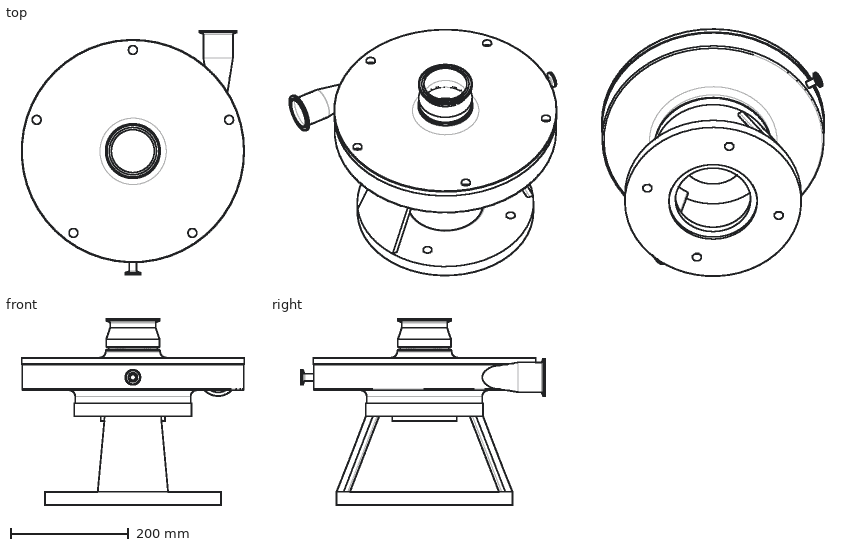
import cadquery as cq
import math


base_radius = 150.0
plate_thickness = 22.5
base_bore_radius = 64.0
base_bore_fillet = 3.0
register_radius = 75.0
register_depth = 6.5
anchor_count = 4
anchor_circle_radius = 115.0
anchor_hole_radius = 7.5
ring_radius = 100.0
ring_bottom = 151.0
ring_top = ring_bottom + plate_thickness
leg_wall = 12.0
leg_base_half_width = 60.0
leg_top_half_width = 48.0
leg_edge_fillet = 4.0

spigot_radius = 55.0
spigot_bottom = ring_bottom - 8.0
casing_neck_radius = 98.5
casing_neck_top = 185.0
casing_bottom = 195.0
casing_radius = 188.5
casing_edge_fillet = 3.0
casing_floor = 8.0
chamber_radius = 160.0

lid_radius = 189.5
lid_bottom = 239.0
lid_top = 251.0
lid_edge_chamfer = 1.0
bolt_count = 5
bolt_circle_radius = 172.0
bolt_hole_radius = 7.5

ferrule_rim = 3.3
ferrule_bevel_angle = 20.0
ferrule_fillet = 1.2
gasket_groove_radius = 1.9
gasket_groove_inset = 3.4

inlet_top = 316.5
inlet_rim_radius = 45.5
inlet_pipe_radius = 38.9
inlet_bore_radius = 36.5
inlet_body_radius = 45.5
inlet_cone_top = 301.5
inlet_cone_bottom = 282.0
inlet_body_bottom = 268.0
inlet_body_chamfer = 1.5
inlet_groove_radius = 41.5
inlet_groove_bottom = 264.5
inlet_collar_radius = 46.5
inlet_collar_lip = 44.5
inlet_collar_chamfer_bottom = 262.5
inlet_flare_radius = 10.0
inlet_bore_cone_top = 287.0
inlet_bore_cone_bottom = 267.0
inlet_bore_bottom_radius = 39.5

port_height = 217.3
outlet_x = 145.0
outlet_end = 205.0
outlet_rim_radius = 32.0
outlet_pipe_radius = 25.4
outlet_wall = 1.6
outlet_cone_start = 159.0
outlet_cone_end = 60.0
outlet_cone_taper = 9.0

drain_end = 210.0
drain_rim_radius = 13.0
drain_pipe_radius = 6.35
drain_bore_radius = 4.9


def turned(outline):
    """Revolve a closed (radius, height) outline about the Z axis."""
    return outline.close().revolve(360, (0, 0, 0), (0, 1, 0))


def cylinder(radius, bottom, top):
    return cq.Workplane("XY", origin=(0, 0, bottom)).circle(radius).extrude(top - bottom)


def cone(bottom_radius, bottom, top_radius, top):
    outline = (
        cq.Workplane("XZ")
        .moveTo(0, bottom)
        .lineTo(bottom_radius, bottom)
        .lineTo(top_radius, top)
        .lineTo(0, top)
    )
    return turned(outline)


def clamp_pipe(rim_radius, pipe_radius, length):
    """Solid pipe hanging down from a clamp ferrule, whose grooved face lies at Z = 0."""
    bevel = math.radians(ferrule_bevel_angle)
    corner_height = -ferrule_rim - (rim_radius - pipe_radius) * math.tan(bevel)
    tangent_length = ferrule_fillet * math.tan((math.pi / 2 - bevel) / 2)
    outline = (
        cq.Workplane("XZ")
        .lineTo(rim_radius, 0)
        .lineTo(rim_radius, -ferrule_rim)
        .lineTo(
            pipe_radius + tangent_length * math.cos(bevel),
            corner_height + tangent_length * math.sin(bevel),
        )
        .tangentArcPoint((pipe_radius, corner_height - tangent_length), relative=False)
        .lineTo(pipe_radius, -length)
        .lineTo(0, -length)
    )
    gasket_groove = cq.Solid.makeTorus(rim_radius - gasket_groove_inset, gasket_groove_radius)
    return turned(outline).cut(cq.Workplane(gasket_groove))


def to_outlet(shape):
    """Swing a shape from +Z to +Y and put its Z = 0 at the outlet face."""
    return shape.rotate((0, 0, 0), (1, 0, 0), -90).translate((outlet_x, outlet_end, port_height))


def to_drain(shape):
    """Swing a shape from +Z to -Y and put its Z = 0 at the drain face."""
    return shape.rotate((0, 0, 0), (1, 0, 0), 90).translate((0, -drain_end, port_height))


def base_plate():
    """Ring plate with a top-rounded bore, anchor holes and a shallow register in its underside."""
    bore = cylinder(base_bore_radius, 0, plate_thickness)
    plate = cylinder(base_radius, 0, plate_thickness).cut(bore)
    plate = plate.faces(">Z").edges(cq.selectors.RadiusNthSelector(0)).fillet(base_bore_fillet)
    anchor_holes = (
        cq.Workplane("XY")
        .polarArray(anchor_circle_radius, 45, 360, anchor_count)
        .circle(anchor_hole_radius)
        .extrude(plate_thickness)
    )
    register = cylinder(register_radius, 0, register_depth)
    return plate.cut(anchor_holes).cut(register)


def leg():
    """Tapered strip of a conical shell on the -Y side, with its two inner edges rounded."""
    shell = cone(base_radius, plate_thickness, ring_radius, ring_bottom).cut(
        cone(base_radius - leg_wall, plate_thickness, ring_radius - leg_wall, ring_bottom)
    )
    strip = (
        cq.Workplane("XZ")
        .moveTo(-leg_base_half_width, plate_thickness)
        .lineTo(leg_base_half_width, plate_thickness)
        .lineTo(leg_top_half_width, ring_bottom)
        .lineTo(-leg_top_half_width, ring_bottom)
        .close()
        .extrude(base_radius)
    )
    middle_height = (plate_thickness + ring_bottom) / 2
    middle_half_width = (leg_base_half_width + leg_top_half_width) / 2
    middle_inner_radius = (base_radius + ring_radius) / 2 - leg_wall
    middle_y = -math.sqrt(middle_inner_radius**2 - middle_half_width**2)
    blank = shell.intersect(strip)
    for side in (-1, 1):
        inner_edge_point = (side * middle_half_width, middle_y, middle_height)
        blank = blank.edges(cq.selectors.NearestToPointSelector(inner_edge_point)).fillet(leg_edge_fillet)
    return blank


def make_stand():
    ring = cylinder(ring_radius, ring_bottom, ring_top).cut(cylinder(spigot_radius, ring_bottom, ring_top))
    front_leg = leg()
    back_leg = front_leg.rotate((0, 0, 0), (0, 0, 1), 180)
    return base_plate().union(front_leg).union(back_leg).union(ring)


def casing():
    flare = casing_bottom - casing_neck_top
    outline = (
        cq.Workplane("XZ")
        .moveTo(0, spigot_bottom)
        .lineTo(spigot_radius, spigot_bottom)
        .lineTo(spigot_radius, ring_top)
        .lineTo(casing_neck_radius, ring_top)
        .lineTo(casing_neck_radius, casing_neck_top)
        .tangentArcPoint((casing_neck_radius + flare, casing_bottom), relative=False)
        .lineTo(casing_radius - casing_edge_fillet, casing_bottom)
        .tangentArcPoint((casing_radius, casing_bottom + casing_edge_fillet), relative=False)
        .lineTo(casing_radius, lid_bottom)
        .lineTo(0, lid_bottom)
    )
    return turned(outline)


def lid():
    return cylinder(lid_radius, lid_bottom, lid_top).edges().chamfer(lid_edge_chamfer)


def lid_holes():
    return (
        cq.Workplane("XY", origin=(0, 0, lid_bottom))
        .polarArray(bolt_circle_radius, 90, 360, bolt_count)
        .circle(bolt_hole_radius)
        .extrude(lid_top - lid_bottom)
    )


def inlet():
    flare_start = lid_top + inlet_flare_radius
    outline = (
        cq.Workplane("XZ")
        .moveTo(0, inlet_cone_top)
        .lineTo(inlet_pipe_radius, inlet_cone_top)
        .lineTo(inlet_body_radius, inlet_cone_bottom)
        .lineTo(inlet_body_radius, inlet_body_bottom + inlet_body_chamfer)
        .lineTo(inlet_body_radius - inlet_body_chamfer, inlet_body_bottom)
        .lineTo(inlet_groove_radius, inlet_body_bottom)
        .lineTo(inlet_groove_radius, inlet_groove_bottom)
        .lineTo(inlet_collar_lip, inlet_groove_bottom)
        .lineTo(inlet_collar_radius, inlet_collar_chamfer_bottom)
        .lineTo(inlet_collar_radius, flare_start)
        .tangentArcPoint((inlet_collar_radius + inlet_flare_radius, lid_top), relative=False)
        .lineTo(0, lid_top)
    )
    pipe = clamp_pipe(inlet_rim_radius, inlet_pipe_radius, inlet_top - inlet_cone_top)
    return turned(outline).union(pipe.translate((0, 0, inlet_top)))


def inlet_bore():
    """Straight at the ferrule, widening through a cone, then straight down into the chamber."""
    upper = cylinder(inlet_bore_radius, inlet_bore_cone_top, inlet_top)
    widening = cone(
        inlet_bore_bottom_radius, inlet_bore_cone_bottom, inlet_bore_radius, inlet_bore_cone_top
    )
    lower = cylinder(inlet_bore_bottom_radius, lid_bottom, inlet_bore_cone_bottom)
    return upper.union(widening).union(lower)


def outlet_cone(start_radius):
    """Tapered run of the outlet, from the end of its straight pipe into the casing."""
    start = outlet_cone_start - outlet_end
    end = outlet_cone_end - outlet_end
    end_radius = start_radius - (start - end) * math.tan(math.radians(outlet_cone_taper))
    return cone(end_radius, end, start_radius, start)


def outlet():
    pipe = clamp_pipe(outlet_rim_radius, outlet_pipe_radius, outlet_end - outlet_cone_start)
    return to_outlet(pipe.union(outlet_cone(outlet_pipe_radius)))


def outlet_bore():
    bore_radius = outlet_pipe_radius - outlet_wall
    straight = cylinder(bore_radius, outlet_cone_start - outlet_end, 0)
    return to_outlet(straight.union(outlet_cone(bore_radius)))


def drain():
    inner_end = (chamber_radius + casing_radius) / 2
    return to_drain(clamp_pipe(drain_rim_radius, drain_pipe_radius, drain_end - inner_end))


def drain_bore():
    inner_end = chamber_radius - drain_rim_radius
    return to_drain(cylinder(drain_bore_radius, inner_end - drain_end, 0))


def make_pump():
    solid_pump = casing().union(lid()).union(inlet()).union(outlet()).union(drain())
    chamber = cylinder(chamber_radius, casing_bottom + casing_floor, lid_bottom)
    hollows = (chamber, inlet_bore(), outlet_bore(), drain_bore(), lid_holes())
    for hollow in hollows:
        solid_pump = solid_pump.cut(hollow)
    return solid_pump


stand = make_stand()
pump = make_pump()

result = cq.Compound.makeCompound([stand.solids().val(), pump.solids().val()])